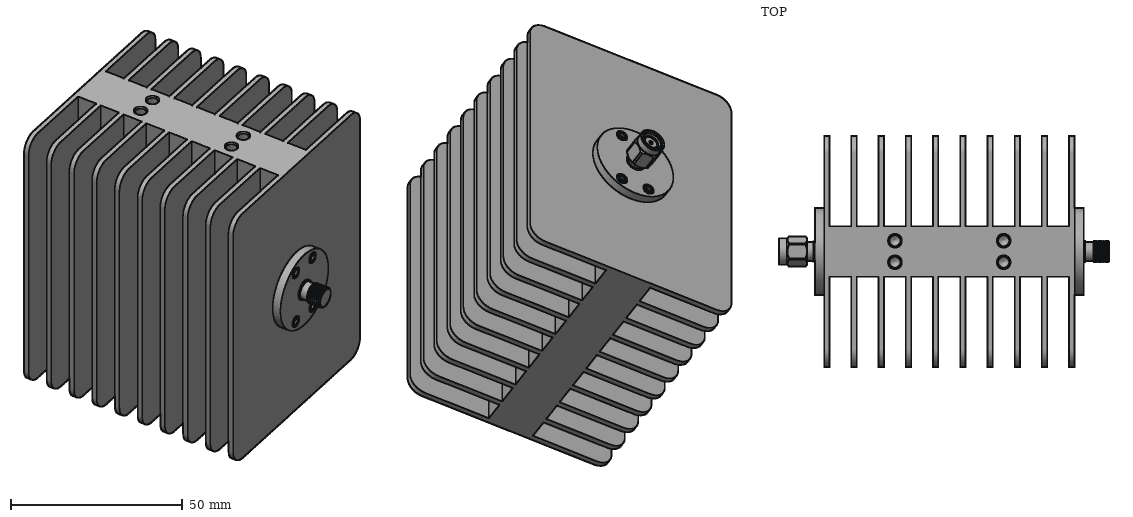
import cadquery as cq
import math

body_start_x = -34.9
body_length = 73.0
body_width = 67.3
body_height = 88.9
body_end_x = body_start_x + body_length
body_middle_x = body_start_x + body_length / 2
core_width = 14.7
fin_count = 10
fin_thickness = 1.6
fin_corner_radius = 5.0
fin_pitch = (body_length - fin_thickness) / (fin_count - 1)

mount_hole_diameter = 3.2
mount_hole_mouth_diameter = 4.0
mount_hole_depth = 9.6
mount_hole_spacing_x = 31.7
mount_hole_spacing_y = 6.3
drill_tip_angle = 118

flange_diameter = 25.4
flange_thickness = 2.7
screw_spacing_y = 8.9
screw_spacing_z = 17.7
screw_hole_diameter = 3.5
screw_head_diameter = 3.2
screw_head_chamfer = 0.3
screw_gap_depth = 1.3
screw_socket_diameter = 1.7
screw_socket_depth = 1
flange_start_x = body_start_x - flange_thickness
flange_end_x = body_end_x + flange_thickness

overall_length = 96.3
plug_end_x = -overall_length / 2
plug_neck_diameter = 5.6
plug_shoulder_diameter = 5.9
shoulder_length = 0.4
nut_length = 8.4
nut_collar_length = 2.4
nut_collar_diameter = 7.8
nut_collar_chamfer = 0.2
nut_across_flats = 7.9
nut_corner_diameter = 8.8
nut_corner_chamfer = 0.6
nut_bore_diameter = 5.6
nut_mouth_diameter = 6.4
nut_bore_depth = 3.4
plug_sleeve_diameter = 4.5
plug_sleeve_bore = 4.1
plug_sleeve_setback = 1
plug_insulator_setback = 1.25
pin_diameter = 1.2
pin_tip_diameter = 0.94
pin_setback = 1.1
nut_end_x = plug_end_x + nut_length
hex_start_x = plug_end_x + nut_collar_length

jack_end_x = overall_length / 2
jack_neck_diameter = 5.6
jack_shoulder_diameter = 6.4
thread_diameter = 6.4
thread_root_diameter = 5.6
thread_length = 4.7
thread_pitch = 0.7


def cylinder_x(diameter, start_x, end_x, y=0, z=0):
    """Cylinder along X between two X positions."""
    plane = cq.Workplane("YZ", origin=(start_x, y, z))
    return plane.circle(diameter / 2).extrude(end_x - start_x)


def turned_x(profile):
    """Solid of revolution about the X axis from (x, radius) points."""
    return cq.Workplane("XY").polyline(profile).close().revolve(360, (0, 0, 0), (1, 0, 0))


def make_finned_body():
    core = cq.Workplane("XY").box(body_length, core_width, body_height)
    body = core.translate((body_middle_x, 0, 0))
    for index in range(fin_count):
        fin_x = body_start_x + fin_thickness / 2 + index * fin_pitch
        fin = cq.Workplane("XY").box(fin_thickness, body_width, body_height)
        fin = fin.edges("|X").fillet(fin_corner_radius)
        body = body.union(fin.translate((fin_x, 0, 0)))
    return body


def cut_mount_holes(body):
    radius = mount_hole_diameter / 2
    mouth_radius = mount_hole_mouth_diameter / 2
    mouth_depth = mouth_radius - radius
    tip_depth = radius / math.tan(math.radians(drill_tip_angle / 2))
    profile = [
        (0, 0),
        (mouth_radius, 0),
        (radius, -mouth_depth),
        (radius, -mount_hole_depth),
        (0, -mount_hole_depth - tip_depth),
    ]
    hole = cq.Workplane("XZ").polyline(profile).close().revolve(360, (0, 0, 0), (0, 1, 0))
    for side_x in (-1, 1):
        for side_y in (-1, 1):
            hole_x = body_middle_x + side_x * mount_hole_spacing_x / 2
            hole_y = side_y * mount_hole_spacing_y / 2
            body = body.cut(hole.translate((hole_x, hole_y, body_height / 2)))
    return body


def make_flange(inner_x, outward):
    """Flange growing from inner_x; outward is -1 or +1 along X."""
    outer_x = inner_x + outward * flange_thickness
    gap_floor_x = outer_x - outward * screw_gap_depth
    socket_floor_x = outer_x - outward * screw_socket_depth
    outer_face = ">X" if outward > 0 else "<X"
    flange = cylinder_x(flange_diameter, inner_x, outer_x)
    for side_y in (-1, 1):
        for side_z in (-1, 1):
            place = (side_y * screw_spacing_y / 2, side_z * screw_spacing_z / 2)
            hole = cylinder_x(screw_hole_diameter, outer_x, gap_floor_x, *place)
            head = cylinder_x(screw_head_diameter, outer_x, gap_floor_x, *place)
            head = head.faces(outer_face).edges().chamfer(screw_head_chamfer)
            socket = cylinder_x(screw_socket_diameter, outer_x, socket_floor_x, *place)
            flange = flange.cut(hole.cut(head)).cut(socket)
    return flange


def make_nut():
    """Hexagonal nut with turned corners, a round collar and an open mouth."""
    across_corners = nut_across_flats / math.cos(math.pi / 6)
    hexagon = cq.Workplane("YZ", origin=(hex_start_x, 0, 0)).polygon(6, across_corners)
    hexagon = hexagon.extrude(nut_end_x - hex_start_x)
    corner_limit = cylinder_x(nut_corner_diameter, hex_start_x, nut_end_x)
    hexagon = hexagon.intersect(corner_limit.edges().chamfer(nut_corner_chamfer))
    collar = cylinder_x(nut_collar_diameter, plug_end_x, hex_start_x)
    collar = collar.faces("<X").edges().chamfer(nut_collar_chamfer)
    bore_floor_x = plug_end_x + nut_bore_depth
    bore_radius = nut_bore_diameter / 2
    mouth_radius = nut_mouth_diameter / 2
    bore = turned_x([
        (plug_end_x, 0),
        (plug_end_x, mouth_radius),
        (plug_end_x + mouth_radius - bore_radius, bore_radius),
        (bore_floor_x, bore_radius),
        (bore_floor_x, 0),
    ])
    return hexagon.union(collar).cut(bore)


def make_plug():
    bore_floor_x = plug_end_x + nut_bore_depth
    insulator_x = plug_end_x + plug_insulator_setback
    pin_x = plug_end_x + pin_setback
    sleeve = cylinder_x(plug_sleeve_diameter, plug_end_x + plug_sleeve_setback, bore_floor_x)
    sleeve = sleeve.cut(cylinder_x(plug_sleeve_bore, plug_end_x, insulator_x))
    pin_taper = (pin_diameter - pin_tip_diameter) / 2
    pin = cylinder_x(pin_diameter, pin_x, insulator_x).faces("<X").edges().chamfer(pin_taper)
    neck = cylinder_x(plug_neck_diameter, nut_end_x, flange_start_x)
    shoulder = cylinder_x(plug_shoulder_diameter, flange_start_x - shoulder_length, flange_start_x)
    return make_nut().union(sleeve).union(pin).union(neck).union(shoulder)


def make_jack():
    """Jack with its thread modelled as a row of V-shaped ridges."""
    root_radius = thread_root_diameter / 2
    crest_radius = thread_diameter / 2
    thread_start_x = jack_end_x - thread_length
    ridge_count = round(thread_length / thread_pitch)
    profile = [(thread_start_x, 0), (thread_start_x, root_radius)]
    for index in range(ridge_count):
        ridge_x = thread_start_x + index * thread_pitch
        profile.append((ridge_x + thread_pitch / 2, crest_radius))
        profile.append((ridge_x + thread_pitch, root_radius))
    profile.append((jack_end_x, 0))
    neck = cylinder_x(jack_neck_diameter, flange_end_x, thread_start_x)
    shoulder = cylinder_x(jack_shoulder_diameter, flange_end_x, flange_end_x + shoulder_length)
    return turned_x(profile).union(neck).union(shoulder)


result = cut_mount_holes(make_finned_body())
result = result.union(make_flange(body_start_x, -1))
result = result.union(make_flange(body_end_x, 1))
result = result.union(make_plug())
result = result.union(make_jack())